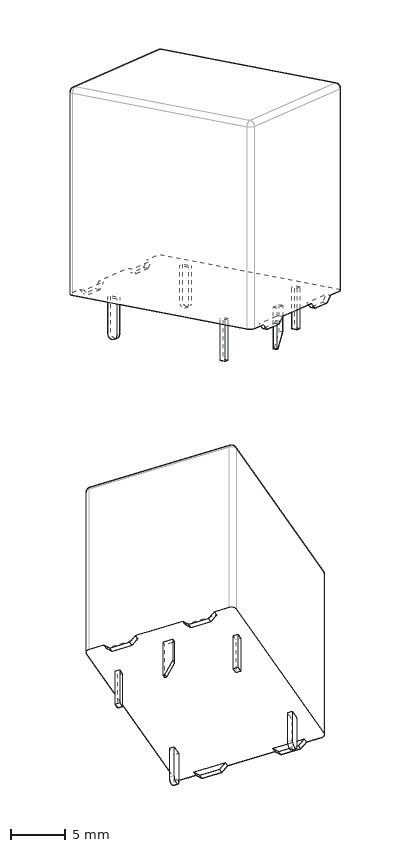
import cadquery as cq

total_height = 24.0
case_length = 20.3
case_width = 15.22
pin_length = 4.0
case_height = total_height - pin_length
edge_radius = 0.5

foot_thickness = 0.5
foot_drop = 0.6
foot_offset = 4.0
foot_tip_width = 2.02
foot_root_width = foot_tip_width + 2 * foot_drop

side_pin_offset = 6.0
side_pin_thickness = 0.5
contact_pin_x = -6.15
contact_pin_width = 1.0
coil_pin_x = 6.05
coil_pin_width = 0.6
common_pin_x = 8.05
common_pin_thickness = 0.4
common_pin_width = 1.0
common_tip_width = 0.2
common_bevel_height = 1.45


def make_case():
    """Box with rounded vertical and top edges and a flat underside."""
    box = cq.Workplane("XY").box(case_length, case_width, case_height, centered=(True, True, False))
    return box.edges("|Z or >Z").fillet(edge_radius)


def make_foot(start_x, center_y):
    """Trapezoidal foot that narrows downward, running in +X from start_x."""
    half_root = foot_root_width / 2
    half_tip = foot_tip_width / 2
    return (
        cq.Workplane("YZ", origin=(start_x, center_y, 0))
        .moveTo(-half_root, 0)
        .lineTo(-half_tip, -foot_drop)
        .lineTo(half_tip, -foot_drop)
        .lineTo(half_root, 0)
        .close()
        .extrude(foot_thickness)
    )


def make_contact_pin(center_y):
    """Flat pin with a semicircular tip."""
    tip_radius = contact_pin_width / 2
    round_start_z = tip_radius - pin_length
    return (
        cq.Workplane("XZ", origin=(contact_pin_x, center_y, 0))
        .moveTo(-tip_radius, 0)
        .lineTo(-tip_radius, round_start_z)
        .threePointArc((0, -pin_length), (tip_radius, round_start_z))
        .lineTo(tip_radius, 0)
        .close()
        .extrude(side_pin_thickness / 2, both=True)
    )


def make_coil_pin(center_y):
    """Plain rectangular pin."""
    return (
        cq.Workplane("XY", origin=(coil_pin_x, center_y, 0))
        .rect(coil_pin_width, side_pin_thickness)
        .extrude(-pin_length)
    )


def make_common_pin():
    """Central blade, bevelled on its +Y edge down to a narrow tip."""
    half_width = common_pin_width / 2
    return (
        cq.Workplane("YZ", origin=(common_pin_x, 0, 0))
        .moveTo(-half_width, 0)
        .lineTo(-half_width, -pin_length)
        .lineTo(common_tip_width - half_width, -pin_length)
        .lineTo(half_width, common_bevel_height - pin_length)
        .lineTo(half_width, 0)
        .close()
        .extrude(common_pin_thickness / 2, both=True)
    )


result = make_case().union(make_common_pin())
for side in (-1, 1):
    result = result.union(make_contact_pin(side * side_pin_offset))
    result = result.union(make_coil_pin(side * side_pin_offset))
    for foot_start_x in (-case_length / 2, case_length / 2 - foot_thickness):
        result = result.union(make_foot(foot_start_x, side * foot_offset))